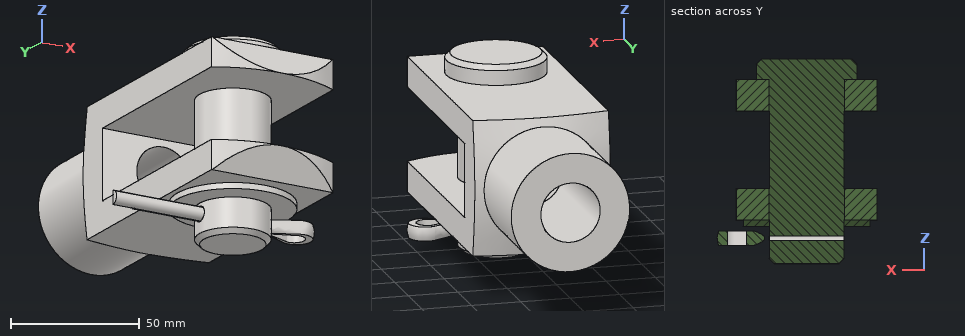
import cadquery as cq
import math

FORK_SIZE = 55.0
FORK_GAP = 30.0
SLOT_BOTTOM_Y = 54.0
SHOULDER_Y = 70.0
SHOULDER_CONE_ANGLE = 15.0
SHANK_DIAMETER = 48.0
SHANK_LENGTH = 40.0
SHANK_BORE_DIAMETER = 24.0
TIP_Y = -38.0
TIP_RADIUS = 55.0
TIP_BEVEL_ANGLE = 30.0

PIN_DIAMETER = FORK_GAP
PIN_HEAD_DIAMETER = 40.0
PIN_HEAD_HEIGHT = 8.0
PIN_TAIL_LENGTH = 17.0
PIN_CHAMFER = 2.0
SPLIT_HOLE_DIAMETER = 6.3

WASHER_DIAMETER = 50.0
WASHER_THICKNESS = 2.5

SPLIT_DIAMETER = 5.8
SPLIT_TO_PIN_END = 10.0
LEG_GAP = 0.3
LONG_LEG_END_X = -54.2
SHORT_LEG_END_X = -44.4
LEG_ROOT_X = 15.8
EYE_END_X = 35.8
EYE_OUTER_RADIUS = 7.1
EYE_BORE_RADIUS = 4.4
EYE_BORE_OFFSET = 1.0
EYE_CROWN = 0.6
CROWN_ANGLE = 75.0

HALF_FORK = FORK_SIZE / 2
HALF_GAP = FORK_GAP / 2
ARM_THICKNESS = HALF_FORK - HALF_GAP
PIN_RADIUS = PIN_DIAMETER / 2
PIN_END_Z = -HALF_FORK - PIN_TAIL_LENGTH
SPLIT_RADIUS = SPLIT_DIAMETER / 2
SPLIT_Z = PIN_END_Z + SPLIT_TO_PIN_END
EYE_X = EYE_END_X - EYE_OUTER_RADIUS

EYE_MID_RADIUS = (EYE_OUTER_RADIUS + EYE_BORE_RADIUS) / 2
ROOT_TO_EYE_X = EYE_X - LEG_ROOT_X
ROOT_MID_Y = SPLIT_RADIUS / 2
SPREAD_ANGLE = (
    math.asin(EYE_MID_RADIUS / math.hypot(ROOT_TO_EYE_X, ROOT_MID_Y))
    - math.atan(ROOT_MID_Y / ROOT_TO_EYE_X)
)


def cylinder_z(diameter, bottom, top):
    return cq.Workplane("XY").workplane(offset=bottom).circle(diameter / 2).extrude(top - bottom)


def cylinder_y(diameter, start, end):
    return cq.Workplane("XZ", origin=(0, start, 0)).circle(diameter / 2).extrude(start - end)


def fork_outline():
    """Head seen along Z: straight sides and an arc across the arm ends."""
    side_end_y = TIP_Y + TIP_RADIUS - math.sqrt(TIP_RADIUS**2 - HALF_FORK**2)
    return (
        cq.Workplane("XY")
        .workplane(offset=-HALF_FORK)
        .moveTo(-HALF_FORK, SHOULDER_Y)
        .lineTo(-HALF_FORK, side_end_y)
        .threePointArc((0, TIP_Y), (HALF_FORK, side_end_y))
        .lineTo(HALF_FORK, SHOULDER_Y)
        .close()
        .extrude(FORK_SIZE)
    )


def fork_side_profile():
    """Head seen along X: a U whose arm ends are bevelled from the outside."""
    bevel_y = TIP_Y + ARM_THICKNESS * math.tan(math.radians(TIP_BEVEL_ANGLE))
    return (
        cq.Workplane("YZ")
        .polyline([
            (SHOULDER_Y, HALF_FORK),
            (bevel_y, HALF_FORK),
            (TIP_Y, HALF_GAP),
            (SLOT_BOTTOM_Y, HALF_GAP),
            (SLOT_BOTTOM_Y, -HALF_GAP),
            (TIP_Y, -HALF_GAP),
            (bevel_y, -HALF_FORK),
            (SHOULDER_Y, -HALF_FORK),
        ])
        .close()
        .extrude(HALF_FORK, both=True)
    )


def shoulder_envelope():
    """Body of revolution about Y whose rear face is the shallow shoulder cone."""
    shank_radius = SHANK_DIAMETER / 2
    rim_radius = FORK_SIZE
    rim_y = SHOULDER_Y - (rim_radius - shank_radius) * math.tan(math.radians(SHOULDER_CONE_ANGLE))
    return (
        cq.Workplane("XY")
        .polyline([
            (0, TIP_Y),
            (rim_radius, TIP_Y),
            (rim_radius, rim_y),
            (shank_radius, SHOULDER_Y),
            (0, SHOULDER_Y),
        ])
        .close()
        .revolve(360, (0, 0, 0), (0, 1, 0))
    )


def make_fork():
    shank_end_y = SHOULDER_Y + SHANK_LENGTH
    head = fork_outline().intersect(fork_side_profile()).intersect(shoulder_envelope())
    shank = cylinder_y(SHANK_DIAMETER, SLOT_BOTTOM_Y, shank_end_y)
    bore = cylinder_y(SHANK_BORE_DIAMETER, SLOT_BOTTOM_Y, shank_end_y)
    pin_hole = cylinder_z(PIN_DIAMETER, -HALF_FORK, HALF_FORK)
    return head.union(shank).cut(bore).cut(pin_hole)


def make_clevis_pin():
    head = cylinder_z(PIN_HEAD_DIAMETER, HALF_FORK, HALF_FORK + PIN_HEAD_HEIGHT)
    head = head.faces(">Z").chamfer(PIN_CHAMFER)
    stem = cylinder_z(PIN_DIAMETER, PIN_END_Z, HALF_FORK)
    stem = stem.faces("<Z").chamfer(PIN_CHAMFER)
    split_pin_hole = (
        cq.Workplane("YZ", origin=(0, 0, SPLIT_Z))
        .circle(SPLIT_HOLE_DIAMETER / 2)
        .extrude(PIN_RADIUS, both=True)
    )
    return head.union(stem).cut(split_pin_hole)


def make_washer():
    bottom = -HALF_FORK - WASHER_THICKNESS
    return cylinder_z(WASHER_DIAMETER, bottom, -HALF_FORK).cut(cylinder_z(PIN_DIAMETER, bottom, -HALF_FORK))


def split_pin_leg(end_x):
    """Half-round leg on the +Y side, flat towards the gap between the legs."""
    rod = cq.Workplane("YZ", origin=(end_x, 0, SPLIT_Z)).circle(SPLIT_RADIUS).extrude(LEG_ROOT_X - end_x)
    return rod.intersect(
        cq.Workplane("XY", origin=(end_x, LEG_GAP / 2, SPLIT_Z))
        .rect(2 * (LEG_ROOT_X - end_x), SPLIT_DIAMETER, centered=(True, False))
        .extrude(SPLIT_RADIUS, both=True)
    )


def leg_section():
    """Half-round outline at the root of the leg, its arc in three parts to pair with the eye strip."""
    flat = LEG_GAP / 2
    flat_half_height = math.sqrt(SPLIT_RADIUS**2 - flat**2)
    flat_angle = math.acos(flat / SPLIT_RADIUS)
    crown_angle = math.radians(CROWN_ANGLE)
    middle_angle = (flat_angle + crown_angle) / 2

    def on_arc(angle):
        return (SPLIT_RADIUS * math.cos(angle), SPLIT_RADIUS * math.sin(angle))

    return (
        cq.Workplane("YZ", origin=(LEG_ROOT_X, 0, SPLIT_Z))
        .moveTo(flat, -flat_half_height)
        .threePointArc(on_arc(-middle_angle), on_arc(-crown_angle))
        .threePointArc(on_arc(0), on_arc(crown_angle))
        .threePointArc(on_arc(middle_angle), (flat, flat_half_height))
        .close()
    )


def eye_section(inner_radius):
    """Flat strip with a crowned outer face, on the radial plane where the eye meets the +Y arm."""
    radial_plane = cq.Plane(
        origin=(EYE_X, 0, SPLIT_Z),
        xDir=(-math.sin(SPREAD_ANGLE), math.cos(SPREAD_ANGLE), 0),
        normal=(math.cos(SPREAD_ANGLE), math.sin(SPREAD_ANGLE), 0),
    )
    edge_radius = EYE_OUTER_RADIUS - EYE_CROWN
    return (
        cq.Workplane(radial_plane)
        .moveTo(inner_radius, -SPLIT_RADIUS)
        .lineTo(edge_radius, -SPLIT_RADIUS)
        .threePointArc((EYE_OUTER_RADIUS, 0), (edge_radius, SPLIT_RADIUS))
        .lineTo(inner_radius, SPLIT_RADIUS)
        .close()
    )


def split_pin_arm():
    """Transition on the +Y side from the half-round leg to the strip of the eye."""
    offset_along_strip = EYE_BORE_OFFSET * math.sin(SPREAD_ANGLE)
    offset_across_strip = EYE_BORE_OFFSET * math.cos(SPREAD_ANGLE)
    inner_radius = offset_along_strip + math.sqrt(EYE_BORE_RADIUS**2 - offset_across_strip**2)
    outlines = [leg_section().wires().val(), eye_section(inner_radius).wires().val()]
    return cq.Workplane(cq.Solid.makeLoft(outlines, True))


def split_pin_eye():
    """Crowned disc sector swept between the two arms, opened by the off-centre bore."""
    sweep = 180 + 2 * math.degrees(SPREAD_ANGLE)
    sector = eye_section(0).revolve(sweep, (0, 0, 0), (0, -1, 0))
    bore = (
        cq.Workplane("XY", origin=(EYE_X - EYE_BORE_OFFSET, 0, SPLIT_Z))
        .circle(EYE_BORE_RADIUS)
        .extrude(SPLIT_RADIUS, both=True)
    )
    return sector.cut(bore)


def make_split_pin():
    short_side = split_pin_leg(SHORT_LEG_END_X).union(split_pin_arm())
    long_side = split_pin_leg(LONG_LEG_END_X).union(split_pin_arm()).mirror("XZ")
    return split_pin_eye().union(short_side).union(long_side)


fork = make_fork()
clevis_pin = make_clevis_pin()
washer = make_washer()
split_pin = make_split_pin()
result = cq.Compound.makeCompound([fork.val(), clevis_pin.val(), washer.val(), split_pin.val()])